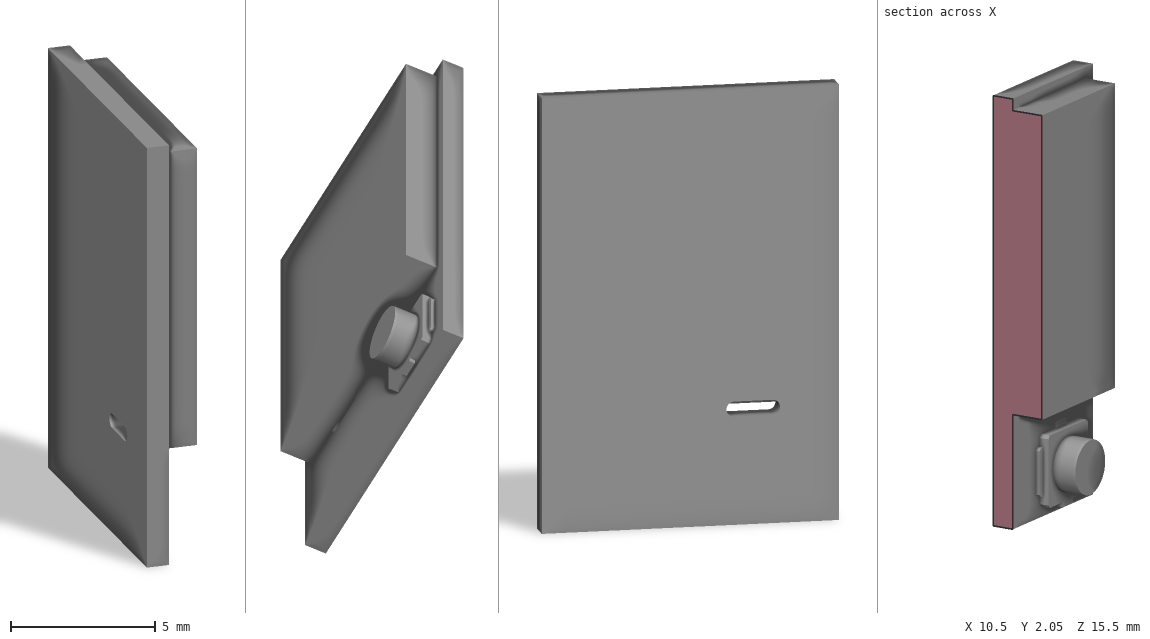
import cadquery as cq

board_width = 10.5
board_height = 15.5
board_thickness = 0.8

can_side_margin = 0.46
can_bottom = 4.12
can_top = 15.08
can_back = 2.0

slot_center_x = 7.47
slot_length = 1.89
slot_width = 0.53

connector_x = 2.17
connector_z = 1.67
base_size = 2.6
base_back = 1.15
base_corner = 0.11
barrel_radius = 0.99
barrel_back = 2.05
barrel_tip_length = 0.1
barrel_tip_inset = 0.02

ground_span = 3.1
ground_height = 1.77
ground_back = 0.95
ground_corner = 0.1
contact_width = 0.62
signal_top = 3.2
signal_back = 0.88
tab_bottom = 0.19
tab_front = 0.95


def block(x_range, y_range, z_range):
    """Box between the given limits on each axis."""
    limits = (x_range, y_range, z_range)
    lengths = [high - low for low, high in limits]
    corner = tuple(low for low, high in limits)
    return cq.Workplane("XY").box(*lengths, centered=False).translate(corner)


def around(center, length):
    """Limits of a length centred on a position."""
    return center - length / 2, center + length / 2


def make_board():
    board = block((0, board_width), (0, board_thickness), (0, board_height))
    slot = (
        cq.Workplane("XZ")
        .center(slot_center_x, can_bottom)
        .slot2D(slot_length, slot_width)
        .extrude(-board_thickness)
    )
    return board.cut(slot)


def make_can():
    return block(
        (can_side_margin, board_width - can_side_margin),
        (board_thickness, can_back),
        (can_bottom, can_top),
    )


def make_barrel():
    """Round post with a slightly tapered tip."""
    tip_radius = barrel_radius - barrel_tip_inset
    taper_start = barrel_back - barrel_tip_length
    return (
        cq.Workplane("XY")
        .moveTo(0, board_thickness)
        .lineTo(-barrel_radius, board_thickness)
        .lineTo(-barrel_radius, taper_start)
        .lineTo(-tip_radius, barrel_back)
        .lineTo(0, barrel_back)
        .close()
        .revolve(360, (0, 0, 0), (0, 1, 0))
        .translate((connector_x, 0, connector_z))
    )


def make_connector():
    base_x = around(connector_x, base_size)
    base_z = around(connector_z, base_size)
    base = block(base_x, (board_thickness, base_back), base_z)
    base = base.edges("|Y").chamfer(base_corner)

    ground = block(
        around(connector_x, ground_span),
        (board_thickness, ground_back),
        around(connector_z, ground_height),
    )
    ground = ground.edges("|Y").chamfer(ground_corner)

    contact_x = around(connector_x, contact_width)
    signal = block(contact_x, (board_thickness, signal_back), (connector_z, signal_top))
    tab = block(contact_x, (tab_front, base_back), (tab_bottom, connector_z))
    return base.union(ground).union(signal).union(tab).union(make_barrel())


result = make_board().union(make_can()).union(make_connector())